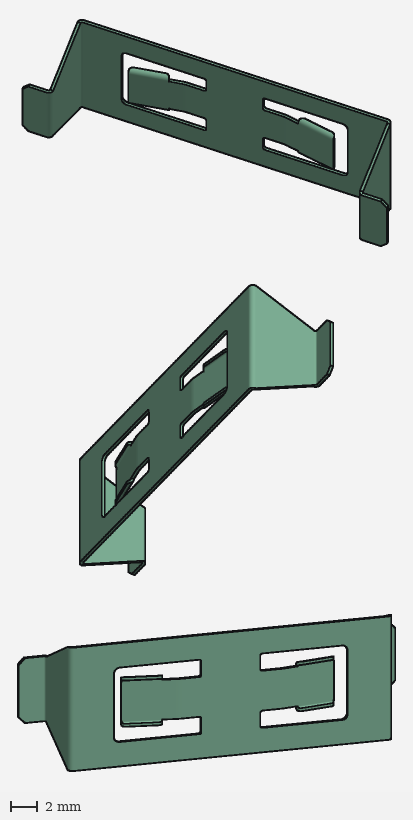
import cadquery as cq
import math


length = 29.45
depth = 5.83
height = 9.57
sheet = 0.25
bend_inner = 0.125
bend_outer = bend_inner + sheet

wall_outer_x = 12.65
wall_inner_x = wall_outer_x - sheet
foot_height = 5.05
foot_chamfer = 0.5

window_inner_x = 2.3
window_outer_x = 9.13
window_height = 5.77
window_outer_radius = 0.45
window_inner_radius = 0.18

tongue_width = 3.1
tongue_bend_x = 3.85
tongue_tip_x = 8.28
tongue_angle = 10.0
tongue_bend_radius = 2.0

flap_start_x = 5.2
flap_depth = 0.45
flap_corner_radius = 0.38

plate_front_y = depth - sheet


def make_bracket():
    """Bent strip with a constant section, tapered in height towards the feet."""
    right_half = [
        (0, depth),
        (wall_outer_x, depth),
        (wall_outer_x, sheet),
        (length / 2, sheet),
        (length / 2, 0),
        (wall_inner_x, 0),
        (wall_inner_x, plate_front_y),
        (0, plate_front_y),
    ]
    strip = cq.Workplane("XY").polyline(right_half).close().extrude(height / 2, both=True)

    def round_bend(body, corner, radius):
        nearest = cq.selectors.NearestToPointSelector((*corner, 0))
        return body.edges("|Z").edges(nearest).fillet(radius)

    strip = round_bend(strip, (wall_outer_x, depth), bend_outer)
    strip = round_bend(strip, (wall_inner_x, plate_front_y), bend_inner)
    strip = round_bend(strip, (wall_inner_x, 0), bend_outer)
    strip = round_bend(strip, (wall_outer_x, sheet), bend_inner)

    taper = (
        cq.Workplane("YZ")
        .moveTo(0, -foot_height / 2)
        .lineTo(bend_outer, -foot_height / 2)
        .lineTo(depth - bend_outer, -height / 2)
        .lineTo(depth, -height / 2)
        .lineTo(depth, height / 2)
        .lineTo(depth - bend_outer, height / 2)
        .lineTo(bend_outer, foot_height / 2)
        .lineTo(0, foot_height / 2)
        .close()
        .extrude(length / 2)
    )
    bracket = strip.intersect(taper)
    return bracket.faces(">X").edges("|Y").chamfer(foot_chamfer)


def make_window():
    """C-shaped opening that leaves the tongue root attached to the plate."""
    window_length = window_outer_x - window_inner_x
    opening = (
        cq.Workplane("XZ", origin=(window_inner_x + window_length / 2, depth, 0))
        .rect(window_length, window_height)
        .extrude(sheet)
    )
    opening = opening.edges("|Y and >X").fillet(window_outer_radius)
    root_length = tongue_bend_x - window_inner_x
    root = (
        cq.Workplane("XZ", origin=(window_inner_x + root_length / 2, depth, 0))
        .rect(root_length, tongue_width)
        .extrude(sheet)
    )
    return opening.cut(root).edges("|Y and <X").fillet(window_inner_radius)


def make_tongue():
    """Flat spring leaf, bent forward, with a curled flap along each long edge."""
    angle = math.radians(tongue_angle)
    centre_y = plate_front_y - tongue_bend_radius

    def bend_point(radius, turn):
        return (tongue_bend_x + radius * math.sin(turn), centre_y + radius * math.cos(turn))

    back_radius = tongue_bend_radius + sheet
    bend = (
        cq.Workplane("XY")
        .moveTo(*bend_point(tongue_bend_radius, 0))
        .threePointArc(bend_point(tongue_bend_radius, angle / 2), bend_point(tongue_bend_radius, angle))
        .lineTo(*bend_point(back_radius, angle))
        .threePointArc(bend_point(back_radius, angle / 2), bend_point(back_radius, 0))
        .close()
        .extrude(tongue_width / 2, both=True)
    )

    leaf_x, leaf_y = bend_point(tongue_bend_radius, angle)
    leaf_length = (tongue_tip_x - leaf_x) / math.cos(angle)
    flap_start = (flap_start_x - leaf_x) / math.cos(angle)
    leaf_plane = cq.Plane(
        origin=(leaf_x, leaf_y, 0),
        xDir=(0, 0, -1),
        normal=(math.cos(angle), -math.sin(angle), 0),
    )
    half_width = tongue_width / 2
    leaf = (
        cq.Workplane(leaf_plane)
        .center(0, sheet / 2)
        .rect(tongue_width, sheet)
        .extrude(leaf_length)
    )

    diagonal = math.sqrt(0.5)
    flap = (
        cq.Workplane(leaf_plane)
        .workplane(offset=flap_start)
        .moveTo(half_width, 0)
        .threePointArc(
            (half_width + bend_outer * diagonal, bend_outer * (1 - diagonal)),
            (half_width + bend_outer, bend_outer),
        )
        .lineTo(half_width + bend_outer, flap_depth)
        .lineTo(half_width + bend_inner, flap_depth)
        .lineTo(half_width + bend_inner, bend_outer)
        .threePointArc(
            (half_width + bend_inner * diagonal, bend_outer - bend_inner * diagonal),
            (half_width, sheet),
        )
        .close()
        .extrude(leaf_length - flap_start)
    )
    rounded_side = (
        cq.Workplane(leaf_plane)
        .workplane(offset=flap_start)
        .center(half_width + bend_outer / 2, flap_depth / 2)
        .rect(bend_outer, flap_depth)
        .extrude(leaf_length - flap_start)
        .faces(cq.selectors.DirectionMinMaxSelector(leaf_plane.yDir))
        .edges("|Z")
        .fillet(flap_corner_radius)
    )
    flap = flap.intersect(rounded_side)
    return bend.union(leaf).union(flap).union(flap.mirror("XY"))


half = make_bracket().cut(make_window()).union(make_tongue())
result = half.union(half.mirror("YZ"))